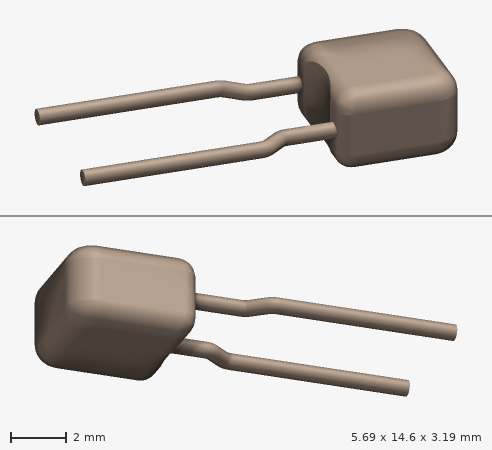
import cadquery as cq
import math


case_width = 5.08
case_length = 4.80
case_height = 3.19
back_corner_radius = 1.0
front_corner_radius = 0.5
rim_radius = 0.75

hollow_width = 3.0
hollow_depth = 0.33

wire_diameter = 0.61
inner_pitch = 3.81
outer_pitch = 5.08
lead_length = 9.82
embedded_length = 0.5
straight_length = 1.83
bend_radius = 0.5
bend_angle = math.radians(38)


def rounded_block():
    """Block with rounded upright corners and a rounded rim at top and bottom."""
    block = cq.Workplane("XY").box(case_width, case_length, case_height)
    block = block.translate((0, case_length / 2, 0))
    block = block.edges("|Z and >Y").fillet(back_corner_radius)
    block = block.edges("|Z and <Y").fillet(front_corner_radius)
    return block.faces("|Z").edges().fillet(rim_radius)


def front_hollow():
    """Upright cylinder that cuts the hollow through the full height of the case."""
    half_width = hollow_width / 2
    radius = (half_width**2 + hollow_depth**2) / (2 * hollow_depth)
    cylinder = cq.Workplane("XY").circle(radius).extrude(case_height / 2, both=True)
    return cylinder.translate((0, hollow_depth - radius, 0))


def make_lead(side):
    """Round wire on the given side (-1 left, 1 right), stepping outward ahead of the case."""
    sideways_step = (outer_pitch - inner_pitch) / 2
    bend_shift = bend_radius * (1 - math.cos(bend_angle))
    bend_run = bend_radius * math.sin(bend_angle)
    slant_shift = sideways_step - 2 * bend_shift
    slant_run = slant_shift / math.tan(bend_angle)

    half_shift = bend_radius * (1 - math.cos(bend_angle / 2))
    half_run = bend_radius * math.sin(bend_angle / 2)

    inner_x = inner_pitch / 2
    outer_x = outer_pitch / 2
    step_start = -straight_length
    step_end = step_start - 2 * bend_run - slant_run

    path = (
        cq.Workplane("XY")
        .moveTo(side * inner_x, embedded_length)
        .lineTo(side * inner_x, step_start)
        .threePointArc(
            (side * (inner_x + half_shift), step_start - half_run),
            (side * (inner_x + bend_shift), step_start - bend_run),
        )
        .lineTo(side * (outer_x - bend_shift), step_end + bend_run)
        .threePointArc(
            (side * (outer_x - half_shift), step_end + half_run),
            (side * outer_x, step_end),
        )
        .lineTo(side * outer_x, -lead_length)
    )
    wire_start = cq.Workplane("XZ", origin=(side * inner_x, embedded_length, 0))
    return wire_start.circle(wire_diameter / 2).sweep(path)


leads = [make_lead(side) for side in (-1, 1)]

case = rounded_block().cut(front_hollow())
for lead in leads:
    case = case.cut(lead)

result = cq.Compound.makeCompound([case.val(), *[lead.val() for lead in leads]])